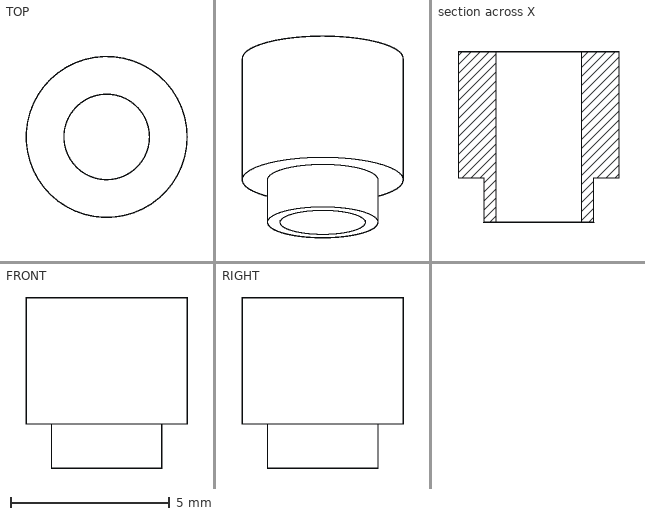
import cadquery as cq

body_diameter = 5.1
body_height = 4.0
spigot_diameter = 3.5
spigot_length = 1.4
bore_diameter = 2.7


def make_body():
    """Main cylinder, standing on the shoulder plane at Z = 0."""
    return cq.Workplane("XY").circle(body_diameter / 2).extrude(body_height)


def make_spigot():
    """Narrower cylinder hanging below the shoulder."""
    return cq.Workplane("XY").circle(spigot_diameter / 2).extrude(-spigot_length)


def make_bore():
    """Through bore along the full length of the spacer."""
    return (
        cq.Workplane("XY")
        .workplane(offset=-spigot_length)
        .circle(bore_diameter / 2)
        .extrude(spigot_length + body_height)
    )


result = make_body().union(make_spigot()).cut(make_bore())